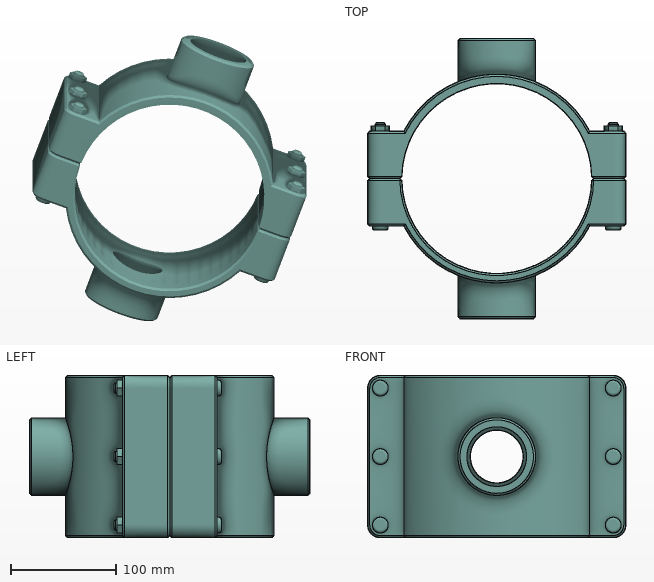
import cadquery as cq
import math

SIDES = (-1, 1)

HEIGHT = 154.0
FLANGE_SPAN = 245.0
FLANGE_DEPTH = 45.0
FLANGE_CORNER_RADIUS = 12.0
RING_OUTER_RADIUS = 99.0
RING_INNER_RADIUS = 90.0
EDGE_CHAMFER = 2.0

SOCKET_REACH = 133.0
SOCKET_EMBEDMENT = 2.0
SOCKET_ROOT_RADIUS = RING_OUTER_RADIUS - SOCKET_EMBEDMENT
SOCKET_DIAMETER = 73.65
SOCKET_BORE_DIAMETER = 56.66
SOCKET_BORE_DEPTH = 30.0
PORT_DIAMETER = 50.0

BOLT_X = FLANGE_SPAN / 2 - FLANGE_CORNER_RADIUS
BOLT_Z = HEIGHT / 2 - FLANGE_CORNER_RADIUS
BOLT_POSITIONS = [(x, z) for x in (-BOLT_X, BOLT_X) for z in (-BOLT_Z, 0, BOLT_Z)]
BOLT_DIAMETER = 10.0
BOLT_TIP_LENGTH = 3.0
BOLT_TIP_CHAMFER = 1.5
HEAD_DIAMETER = 15.0
HEAD_HEIGHT = 4.0
HEAD_TOP_DIAMETER = 10.0
HEAD_FILLET = (HEAD_DIAMETER - HEAD_TOP_DIAMETER) / 2
NUT_ACROSS_FLATS = 15.0
NUT_CORNER_DIAMETER = NUT_ACROSS_FLATS / math.cos(math.radians(30))
NUT_HEIGHT = 5.0

PICK_TOLERANCE = 0.1


def facing(side, distance):
    """Plane at a distance from the parting plane whose normal points to +Y or -Y."""
    return cq.Plane(origin=(0, side * distance, 0), xDir=(1, 0, 0), normal=(0, side, 0))


def half_shell(side, rim_radii):
    """Half ring with two flanges on the +Y (side=1) or -Y (side=-1) side of the parting plane.

    The parting edges and flange edges are chamfered, as are the ring rims of the given radii.
    """
    parting_plane = cq.Workplane(facing(side, 0))
    base = cq.Workplane("XY").workplane(offset=-HEIGHT / 2)

    half_space = parting_plane.rect(FLANGE_SPAN, HEIGHT).extrude(RING_OUTER_RADIUS)
    ring = base.circle(RING_OUTER_RADIUS).extrude(HEIGHT).intersect(half_space)
    flanges = (
        parting_plane.rect(FLANGE_SPAN, HEIGHT)
        .extrude(FLANGE_DEPTH)
        .edges("|Y")
        .fillet(FLANGE_CORNER_RADIUS)
    )
    shell = flanges.union(ring).cut(base.circle(RING_INNER_RADIUS).extrude(HEIGHT))

    def is_inside_corner(edge):
        is_upright = abs(edge.tangentAt(0).z) > 1 - PICK_TOLERANCE
        at_flange_face = abs(edge.Center().y) > FLANGE_DEPTH - PICK_TOLERANCE
        return is_upright and at_flange_face and abs(edge.Center().x) < RING_OUTER_RADIUS

    def is_rim(edge):
        return any(abs(edge.radius() - radius) < PICK_TOLERANCE for radius in rim_radii)

    flat_edges = shell.faces("|Y").edges().filter(lambda edge: not is_inside_corner(edge))
    rims = shell.faces("|Z").edges("%CIRCLE").filter(is_rim)
    return flat_edges.add(rims).chamfer(EDGE_CHAMFER)


def socket_blank(side):
    """Solid branch cylinder with its root hollowed to sit in the ring wall."""
    root = cq.Workplane("XY").circle(SOCKET_ROOT_RADIUS).extrude(HEIGHT / 2, both=True)
    return cq.Workplane(facing(side, 0)).circle(SOCKET_DIAMETER / 2).extrude(SOCKET_REACH).cut(root)


def port_hole(side):
    """Through hole from the clamp axis outwards, along a branch."""
    return cq.Workplane(facing(side, 0)).circle(PORT_DIAMETER / 2).extrude(SOCKET_REACH)


def branch_socket(side):
    """Branch socket with a chamfered mouth and a bore that steps down to the port."""
    outward = cq.selectors.DirectionMinMaxSelector(cq.Vector(0, side, 0))
    socket_bore = (
        cq.Workplane(facing(side, SOCKET_REACH))
        .circle(SOCKET_BORE_DIAMETER / 2)
        .extrude(-SOCKET_BORE_DEPTH)
    )
    return (
        socket_blank(side)
        .faces(outward)
        .chamfer(EDGE_CHAMFER)
        .cut(port_hole(side))
        .cut(socket_bore)
    )


def bolt_heads():
    """Domed round heads on the outer face of the -Y flanges."""
    return (
        cq.Workplane(facing(-1, FLANGE_DEPTH))
        .pushPoints(BOLT_POSITIONS)
        .circle(HEAD_DIAMETER / 2)
        .extrude(HEAD_HEIGHT)
        .faces("<Y")
        .edges()
        .fillet(HEAD_FILLET)
    )


def nuts_with_bolt_tips():
    """Hexagon nuts on the outer face of the +Y flanges, each with a chamfered bolt tip."""
    seat = cq.Workplane(facing(1, FLANGE_DEPTH)).pushPoints(BOLT_POSITIONS)
    nuts = seat.polygon(6, NUT_CORNER_DIAMETER).extrude(NUT_HEIGHT)
    tips = (
        seat.circle(BOLT_DIAMETER / 2)
        .extrude(NUT_HEIGHT + BOLT_TIP_LENGTH)
        .faces(">Y")
        .edges()
        .chamfer(BOLT_TIP_CHAMFER)
    )
    return nuts.union(tips)


front_half = half_shell(-1, [RING_OUTER_RADIUS, RING_INNER_RADIUS]).union(bolt_heads())
rear_half = half_shell(1, [RING_OUTER_RADIUS]).union(nuts_with_bolt_tips())
clamp = front_half.union(rear_half)
for side in SIDES:
    clamp = clamp.cut(port_hole(side)).cut(socket_blank(side))

sockets = [branch_socket(side) for side in SIDES]

result = cq.Compound.makeCompound([clamp.val(), *[socket.val() for socket in sockets]])